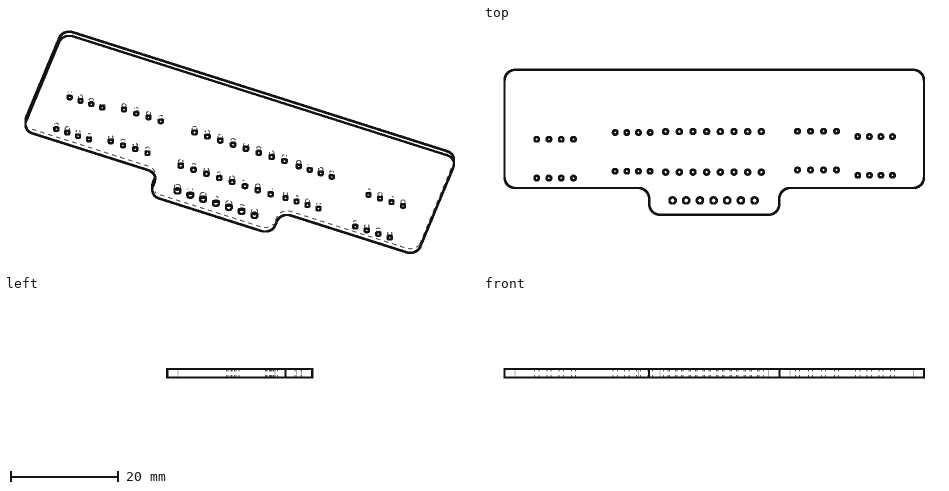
import cadquery as cq

BOARD_LENGTH = 77.97
BOARD_WIDTH = 22.0
OVERALL_WIDTH = 26.97
THICKNESS = 1.6
CORNER_RADIUS = 2.0

TAB_LENGTH = 24.2
TAB_DEPTH = OVERALL_WIDTH - BOARD_WIDTH

HEADER_PITCH = 2.54
TAB_HOLE_COUNT = 7
TAB_HOLE_DIAMETER = 1.12
TAB_HOLE_CENTER_X = -0.13
TAB_HOLE_Y = -2.3
MODULE_HOLE_COUNT = 8
MODULE_HOLE_DIAMETER = 0.88
MODULE_CENTER_X = -0.14
MODULE_FRONT_Y = 2.965
MODULE_ROW_SPACING = 7.53

PIN_COUNT = 4
PIN_HOLE_DIAMETER = 0.8
PIN_ROW_SPACING = 7.2
PIN_GROUPS = [
    (-29.58, 1.86, 2.28),
    (-15.17, 3.13, 2.17),
    (19.1, 3.37, 2.42),
    (29.9, 2.37, 2.145),
]


def make_board():
    """Plate and tab in one piece, with every outline corner rounded."""
    plate = cq.Workplane("XY").box(
        BOARD_LENGTH, BOARD_WIDTH, THICKNESS, centered=(True, False, False)
    )
    tab = (
        cq.Workplane("XY")
        .box(TAB_LENGTH, TAB_DEPTH, THICKNESS, centered=(True, False, False))
        .translate((0, -TAB_DEPTH, 0))
    )
    return plate.union(tab).edges("|Z").fillet(CORNER_RADIUS)


def row_points(center_x, y, count, pitch):
    """Evenly spaced points along X, centered on center_x."""
    first_x = center_x - pitch * (count - 1) / 2
    return [(first_x + i * pitch, y) for i in range(count)]


def double_row_points(center_x, front_y, count, pitch, row_spacing):
    """Two parallel rows of points, the second behind the first."""
    front_row = row_points(center_x, front_y, count, pitch)
    back_row = row_points(center_x, front_y + row_spacing, count, pitch)
    return front_row + back_row


def drill(body, points, diameter):
    """Cut through holes at the given points."""
    pins = cq.Workplane("XY").pushPoints(points).circle(diameter / 2).extrude(THICKNESS)
    return body.cut(pins)


result = make_board()

tab_points = row_points(TAB_HOLE_CENTER_X, TAB_HOLE_Y, TAB_HOLE_COUNT, HEADER_PITCH)
result = drill(result, tab_points, TAB_HOLE_DIAMETER)

module_points = double_row_points(
    MODULE_CENTER_X, MODULE_FRONT_Y, MODULE_HOLE_COUNT, HEADER_PITCH, MODULE_ROW_SPACING
)
result = drill(result, module_points, MODULE_HOLE_DIAMETER)

for group_x, group_front_y, group_pitch in PIN_GROUPS:
    pin_points = double_row_points(group_x, group_front_y, PIN_COUNT, group_pitch, PIN_ROW_SPACING)
    result = drill(result, pin_points, PIN_HOLE_DIAMETER)